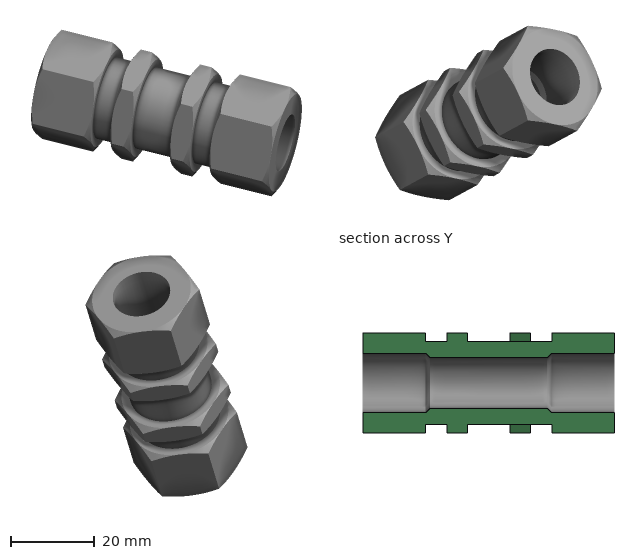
import cadquery as cq
import math

across_flats = 24.0
total_length = 60.0
end_hex_length = 15.0
middle_hex_length = 5.0
middle_hex_centre = 7.5
shank_diameter = 20.0
socket_diameter = 14.0
socket_depth = 15.0
bore_diameter = 12.0
socket_cone_angle = 45.0
corner_chamfer_angle = 30.0

across_corners = across_flats / math.cos(math.radians(30))
corner_height = (across_corners - across_flats) / 2
corner_chamfer_length = corner_height * math.tan(math.radians(corner_chamfer_angle))
socket_cone_length = (socket_diameter - bore_diameter) / 2 / math.tan(math.radians(socket_cone_angle))
half_length = total_length / 2
end_hex_centre = half_length - end_hex_length / 2


def rod(diameter, length, centre_x):
    """Cylinder along X, centred at centre_x."""
    return cq.Workplane("YZ", origin=(centre_x, 0, 0)).circle(diameter / 2).extrude(length / 2, both=True)


def chamfered_hex(length, centre_x):
    """Hexagonal bar along X with corners on +Y and -Y, its corners turned off conically at both ends."""
    bar = (
        cq.Workplane("YZ", origin=(centre_x, 0, 0))
        .polygon(6, across_corners)
        .extrude(length / 2, both=True)
    )
    turned_blank = rod(across_corners, length, centre_x).faces("<X or >X").chamfer(
        corner_chamfer_length, corner_height
    )
    return bar.intersect(turned_blank)


def bore_cutter():
    """Through bore with a wider tube socket at each end, each ending in a conical floor."""
    socket_floor_x = half_length - socket_depth
    bore_start_x = socket_floor_x - socket_cone_length
    return (
        cq.Workplane("XY")
        .moveTo(-half_length, 0)
        .lineTo(-half_length, socket_diameter / 2)
        .lineTo(-socket_floor_x, socket_diameter / 2)
        .lineTo(-bore_start_x, bore_diameter / 2)
        .lineTo(bore_start_x, bore_diameter / 2)
        .lineTo(socket_floor_x, socket_diameter / 2)
        .lineTo(half_length, socket_diameter / 2)
        .lineTo(half_length, 0)
        .close()
        .revolve(360, (0, 0, 0), (1, 0, 0))
    )


fitting = rod(shank_diameter, total_length - end_hex_length, 0)
for hex_centre in (-end_hex_centre, end_hex_centre):
    fitting = fitting.union(chamfered_hex(end_hex_length, hex_centre))
fitting = fitting.union(chamfered_hex(middle_hex_length, -middle_hex_centre))
fitting = fitting.cut(bore_cutter())

locknut = chamfered_hex(middle_hex_length, middle_hex_centre).cut(
    rod(shank_diameter, middle_hex_length, middle_hex_centre)
)

result = cq.Compound.makeCompound([fitting.val(), locknut.val()])